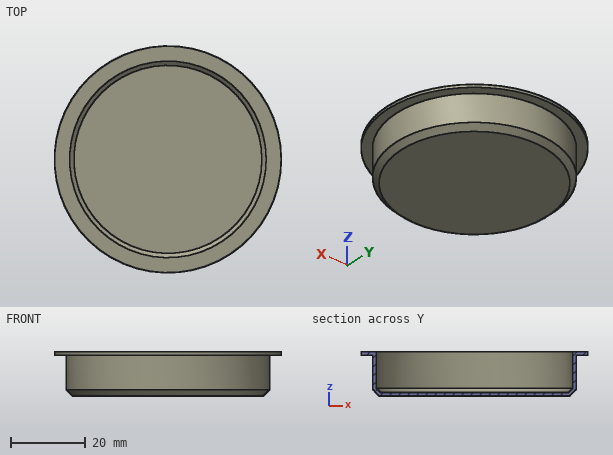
import cadquery as cq

flange_diameter = 61.2
body_diameter = 55.0
bore_diameter = 53.0
height = 12.0
flange_thickness = 1.0
outer_chamfer = 1.8
inner_chamfer = 1.15

floor_thickness = (body_diameter - bore_diameter) / 2


def make_body():
    """Solid cylinder with a chamfered bottom edge."""
    body = cq.Workplane("XY").circle(body_diameter / 2).extrude(height)
    return body.faces("<Z").edges().chamfer(outer_chamfer)


def make_flange():
    """Thin disc flush with the top of the body."""
    flange_bottom = height - flange_thickness
    return (
        cq.Workplane("XY")
        .workplane(offset=flange_bottom)
        .circle(flange_diameter / 2)
        .extrude(flange_thickness)
    )


def make_cavity():
    """Inside of the cup, narrowing at the floor to follow the outer chamfer."""
    cavity = (
        cq.Workplane("XY")
        .workplane(offset=floor_thickness)
        .circle(bore_diameter / 2)
        .extrude(height - floor_thickness)
    )
    return cavity.faces("<Z").edges().chamfer(inner_chamfer)


result = make_body().union(make_flange()).cut(make_cavity())